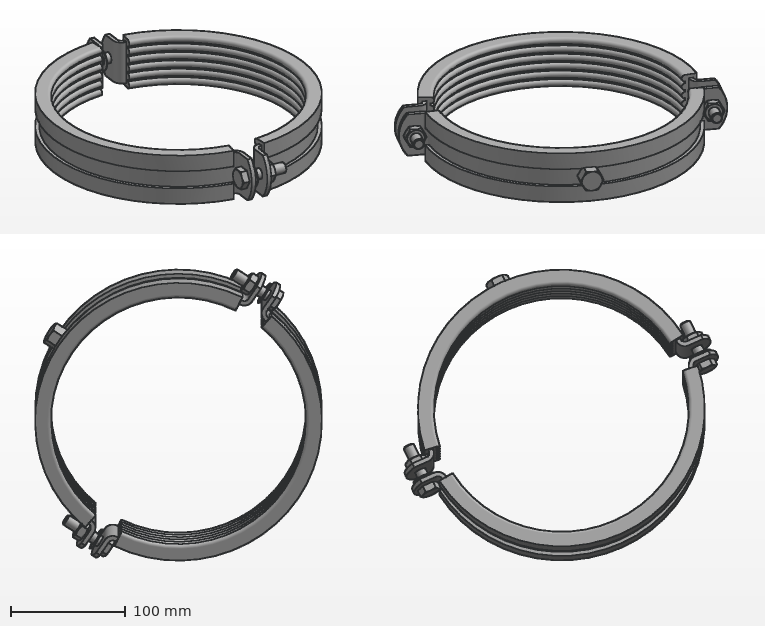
import cadquery as cq
import math


OVERALL_LENGTH = 291.8

ring_radius = 125.0
ring_height = 47.0
lip_thickness = 3.5
groove_height = 16.5
strap_thickness = 4.0
strap_height = 39.7
base_thickness = 3.2
rib_radius = 3.2
rib_count = 6
ring_end_angle = 7.0

strap_radius = ring_radius - lip_thickness
strap_bore = strap_radius - strap_thickness
lining_bore = strap_bore - base_thickness
rib_pitch = (ring_height - 2 * rib_radius) / (rib_count - 1)

lug_gap = 11.5
bend_inner_radius = 4.0
lug_tip_depth = 7.5
bend_outer_radius = bend_inner_radius + strap_thickness
lug_tip_x = OVERALL_LENGTH / 2
lug_inner_y = lug_gap / 2
lug_outer_y = lug_inner_y + strap_thickness
bend_center_y = lug_inner_y + bend_outer_radius
bend_center_radius = strap_radius + bend_inner_radius
strap_end_angle = math.asin(bend_center_y / bend_center_radius)
bend_center_x = bend_center_radius * math.cos(strap_end_angle)

bolt_x = 132.5
bolt_diameter = 10.0
bolt_tip_y = 30.3
bolt_tip_chamfer = 1.0
hex_across_flats = 17.0
head_height = 6.5
nut_height = 7.5
nut_top_diameter = 15.5
washer_diameter = 20.0
washer_thickness = 0.5
washer_y = -1.8

boss_across_flats = 18.0
boss_end_y = 134.5

hex_chamfer_angle = 30.0


def end_wedge(angle):
    """Region behind the two radial planes at the given angle in degrees from the X axis."""
    reach = 2 * ring_radius
    rise = reach * math.tan(math.radians(angle))
    return (
        cq.Workplane("XY")
        .polyline([(0, 0), (reach, rise), (reach, reach), (-reach, reach), (-reach, rise)])
        .close()
        .extrude(ring_height, both=True)
    )


def tube(outer_radius, inner_radius, height):
    return (
        cq.Workplane("XY")
        .circle(outer_radius)
        .circle(inner_radius)
        .extrude(height / 2, both=True)
    )


def lining():
    """Rubber and enclosed strap, with an outside groove and half-round ribs in the bore."""
    ring = tube(ring_radius, lining_bore, ring_height)
    ring = ring.cut(tube(ring_radius + lip_thickness, strap_radius, groove_height))
    lowest_rib_z = rib_radius - ring_height / 2
    for index in range(rib_count):
        rib_z = lowest_rib_z + index * rib_pitch
        rib = (
            cq.Workplane("XZ")
            .moveTo(lining_bore, rib_z - rib_radius)
            .threePointArc((lining_bore - rib_radius, rib_z), (lining_bore, rib_z + rib_radius))
            .lineTo(strap_bore, rib_z + rib_radius)
            .lineTo(strap_bore, rib_z - rib_radius)
            .close()
            .revolve(360, (0, 0, 0), (0, 1, 0))
        )
        ring = ring.union(rib)
    return ring.intersect(end_wedge(ring_end_angle))


def bend_point(radius, angle):
    """Point around the bend axis; the angle in radians is measured from +X."""
    return (bend_center_x + radius * math.cos(angle), bend_center_y + radius * math.sin(angle))


def lug():
    """Right-hand lug: the bent strap end, with a rounded tip."""
    start = math.pi + strap_end_angle
    end = 1.5 * math.pi
    middle = (start + end) / 2
    bent_strip = (
        cq.Workplane("XY")
        .moveTo(*bend_point(bend_inner_radius, start))
        .threePointArc(bend_point(bend_inner_radius, middle), bend_point(bend_inner_radius, end))
        .lineTo(lug_tip_x, lug_outer_y)
        .lineTo(lug_tip_x, lug_inner_y)
        .lineTo(bend_center_x, lug_inner_y)
        .threePointArc(bend_point(bend_outer_radius, middle), bend_point(bend_outer_radius, start))
        .close()
        .extrude(strap_height / 2, both=True)
    )
    shoulder_x = lug_tip_x - lug_tip_depth
    rounded_outline = (
        cq.Workplane("XZ")
        .moveTo(0, -strap_height / 2)
        .lineTo(shoulder_x, -strap_height / 2)
        .threePointArc((lug_tip_x, 0), (shoulder_x, strap_height / 2))
        .lineTo(0, strap_height / 2)
        .close()
        .extrude(ring_radius, both=True)
    )
    return bent_strip.intersect(rounded_outline)


def clamp_half():
    """Rear half of the clamp: lining, strap and both lugs."""
    strap = tube(strap_radius, strap_bore, strap_height)
    strap = strap.intersect(end_wedge(math.degrees(strap_end_angle)))
    right_lug = lug()
    return lining().union(strap).union(right_lug).union(right_lug.mirror("YZ"))


def cylinder_y(x, diameter, start_y, end_y):
    return (
        cq.Workplane("XZ", origin=(x, start_y, 0))
        .circle(diameter / 2)
        .extrude(start_y - end_y)
    )


def hexagon_y(x, across_flats, end_diameter, start_y, end_y):
    """Hexagonal prism along Y, corners on +/-X, chamfered down to end_diameter at end_y."""
    across_corners = across_flats / math.cos(math.radians(30))
    prism = (
        cq.Workplane("XZ", origin=(x, start_y, 0))
        .polygon(6, across_corners)
        .extrude(start_y - end_y)
    )
    corner_width = (across_corners - end_diameter) / 2
    corner_depth = corner_width * math.tan(math.radians(hex_chamfer_angle))
    envelope = cylinder_y(x, across_corners, start_y, end_y)
    end_edge = envelope.faces(">Y" if end_y > start_y else "<Y")
    return prism.intersect(end_edge.chamfer(corner_depth, corner_width))


def nut(x):
    """Nut seated on the rear lug, chamfered on both ends."""
    top_y = lug_outer_y + nut_height
    top_form = hexagon_y(x, hex_across_flats, nut_top_diameter, lug_outer_y, top_y)
    seat_form = hexagon_y(x, hex_across_flats, hex_across_flats, top_y, lug_outer_y)
    return top_form.intersect(seat_form)


def bolt(x):
    """Bolt with its head under the front lug and a thin washer on the shank."""
    shank = cylinder_y(x, bolt_diameter, -lug_outer_y, bolt_tip_y)
    shank = shank.faces(">Y").chamfer(bolt_tip_chamfer)
    head = hexagon_y(
        x, hex_across_flats, hex_across_flats, -lug_outer_y, -lug_outer_y - head_height
    )
    washer = cylinder_y(
        x, washer_diameter, washer_y - washer_thickness / 2, washer_y + washer_thickness / 2
    )
    return shank.union(head).union(washer)


def rear_half():
    half = clamp_half()
    half = half.union(hexagon_y(0, boss_across_flats, boss_across_flats, strap_bore, boss_end_y))
    for x in (-bolt_x, bolt_x):
        half = half.union(nut(x))
        half = half.cut(cylinder_y(x, bolt_diameter, 0, bolt_tip_y))
    return half


def front_half():
    half = clamp_half().mirror("XZ")
    for x in (-bolt_x, bolt_x):
        half = half.union(bolt(x))
    return half


rear_clamp = rear_half()
front_clamp = front_half()

result = cq.Compound.makeCompound([rear_clamp.solids().val(), front_clamp.solids().val()])